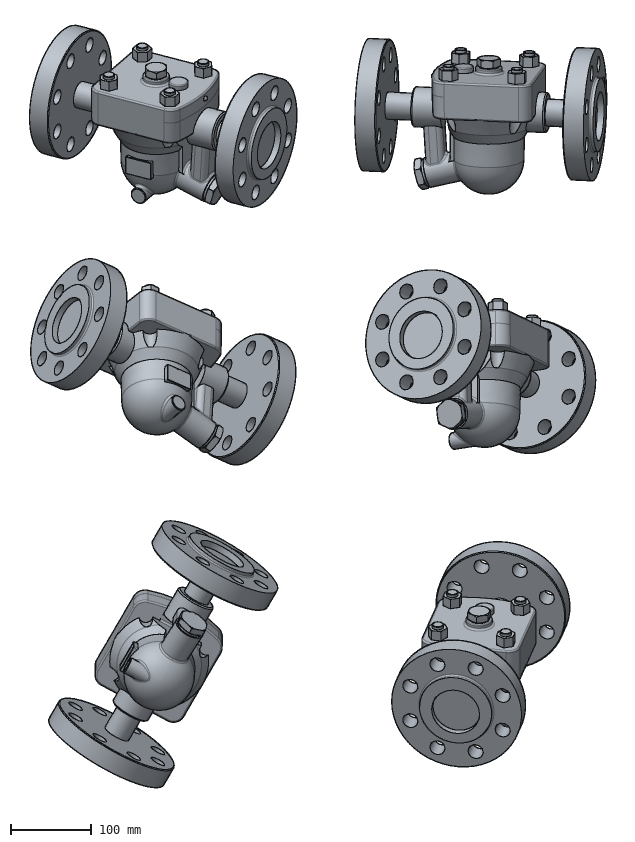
import cadquery as cq
import math

TOTAL_LENGTH = 300.0

FLANGE_DIA = 165.0
FLANGE_THICKNESS = 26.5
FLANGE_CHAMFER = 1.2
RAISED_FACE_DIA = 91.8
RAISED_FACE_ROOT_DIA = 95.5
RAISED_FACE_HEIGHT = 5.7
BORE_DIA = 60.5
BORE_DEPTH = 8.5
BORE_DROP = 2.0
BOLT_CIRCLE_DIA = 127.0
BOLT_HOLE_DIA = 19.0
BOLT_HOLE_COUNT = 8

PIPE_DIA = 34.0
SOCKET_DIA = 50.0
SOCKET_LENGTH = 168.5
SOCKET_CHAMFER = 1.8

AXIS_X = -10.2
BLOCK_BOTTOM_Z = 1.0
JOINT_Z = 30.0
COVER_TOP_Z = 48.3
COVER_LEFT_X = -73.2
COVER_HALF_WIDTH = 62.0
BULGE_X = 59.0
BULGE_BOTTOM_X = 57.5
BULGE_END_X = 47.0
LEFT_CORNER_RADIUS = 14.7
RIGHT_CORNER_RADIUS = 16.8
COVER_EDGE_FILLET = 2.0

BOLT_OFFSET = 43.2
BOLT_DIA = 14.0
BOLT_TOP_Z = 65.7
BOLT_CHAMFER = 0.5
NUT_ACROSS_FLATS = 21.0
NUT_HEIGHT = 13.2
NUT_CHAMFER_DIA = 22.5
RELIEF_DIA = 18.0

PLUG_SEAT_DIA = 33.0
PLUG_SEAT_ROOT_DIA = 38.0
PLUG_SEAT_HEIGHT = 7.0
PLUG_SEAT_FILLET = 1.2
PLUG_NECK_DIA = 24.0
PLUG_HEX_BOTTOM_Z = 56.0
PLUG_HEX_HEIGHT = 10.5
PLUG_HEX_CORNER_DIA = 30.0
PLUG_HEX_CHAMFER_DIA = 25.8
PAD_DIA = 24.0
PAD_X = 21.5
PAD_HEIGHT = 7.0
PAD_FILLET = 1.5
PIP_RADIUS = 3.3
PIP_Z = 40.5

NECK_TOP_RADIUS = 62.5
NECK_MID_RADIUS = 52.5
NECK_MID_Z = -19.5
BOWL_TOP_RADIUS = 44.5
BOWL_TOP_Z = -32.7
BOWL_RADIUS = 43.8
BOWL_CENTRE_Z = -62.7

GAP_LEFT_X = 35.7
GAP_RIGHT_X = 46.5
GAP_CORNER_RADIUS = 2.7
RIB_WIDTH = 31.8
RIB_BOTTOM_Z = -66.0

BRANCH_TILT = 15.0
BRANCH_DIA = 38.0
BRANCH_LENGTH = 79.8
BRANCH_FILLET = 2.7
CAP_NECK_DIA = 34.0
CAP_NECK_LENGTH = 3.3
CAP_CORNER_DIA = 40.0
CAP_CHAMFER_DIA = 36.0
CAP_LENGTH = 9.0

LEG_WIDTH = 24.0
LEG_DEPTH = 30.5
LEG_CORNER_RADIUS = 7.2
LEG_TILT = 3.5
LEG_TOP_X = 59.5
LEG_TOP_Z = -9.0
LEG_LENGTH = 66.0

PLATE_WIDTH = 36.0
PLATE_HEIGHT = 24.0
PLATE_FRONT_Y = -46.2
PLATE_CENTRE_Z = -54.3
PLATE_CORNER_RADIUS = 1.5
PLATE_CHAMFER = 0.5
DRAIN_DIA = 21.0
DRAIN_FRONT_Y = -46.0
DRAIN_Z = -93.5
DRAIN_CHAMFER = 1.05
DRAIN_FILLET = 3.0

TOLERANCE = 0.03


def x_cylinder(diameter, x_start, x_end):
    """Cylinder along the pipe axis."""
    return cq.Workplane("YZ", origin=(x_start, 0, 0)).circle(diameter / 2).extrude(x_end - x_start)


def z_cylinder(diameter, x, y, z_bottom, height):
    """Vertical cylinder standing on z_bottom."""
    return cq.Workplane("XY", origin=(x, y, z_bottom)).circle(diameter / 2).extrude(height)


def hexagon(plane, corner_dia, height, chamfer_dia, both_ends):
    """Hexagonal prism whose corners are turned down by 30 degree cones."""
    prism = cq.Workplane(plane).polygon(6, corner_dia).extrude(height)
    drop = (corner_dia - chamfer_dia) / 2 * math.tan(math.radians(30))
    outline = [(0, height), (chamfer_dia / 2, height), (corner_dia / 2, height - drop)]
    if both_ends:
        outline += [(corner_dia / 2, drop), (chamfer_dia / 2, 0)]
    else:
        outline += [(corner_dia / 2, 0)]
    outline += [(0, 0)]
    turned = cq.Workplane("XZ").polyline(outline).close().revolve(360, (0, 0), (0, 1))
    return prism.intersect(cq.Workplane(turned.val().located(cq.Location(plane))))


def make_flange():
    """Left flange: plate, raised face with a concave root, blind bore and bolt holes."""
    face_x = -TOTAL_LENGTH / 2
    front_x = face_x + RAISED_FACE_HEIGHT
    root_radius = (RAISED_FACE_ROOT_DIA - RAISED_FACE_DIA) / 2
    back_x = front_x + FLANGE_THICKNESS
    plate = x_cylinder(FLANGE_DIA, front_x, back_x).faces(">X").chamfer(FLANGE_CHAMFER)
    face_profile = (
        cq.Workplane("XY")
        .moveTo(face_x, 0)
        .lineTo(face_x, RAISED_FACE_DIA / 2)
        .lineTo(front_x - root_radius, RAISED_FACE_DIA / 2)
        .radiusArc((front_x, RAISED_FACE_ROOT_DIA / 2), -root_radius)
        .lineTo(front_x + FLANGE_CHAMFER, RAISED_FACE_ROOT_DIA / 2)
        .lineTo(front_x + FLANGE_CHAMFER, 0)
        .close()
    )
    raised_face = face_profile.revolve(360, (0, 0, 0), (1, 0, 0))
    bore = x_cylinder(BORE_DIA, face_x, face_x + BORE_DEPTH).translate((0, 0, -BORE_DROP))
    bolt_holes = (
        cq.Workplane("YZ", origin=(front_x, 0, 0))
        .polarArray(BOLT_CIRCLE_DIA / 2, 180 / BOLT_HOLE_COUNT, 360, BOLT_HOLE_COUNT)
        .circle(BOLT_HOLE_DIA / 2)
        .extrude(FLANGE_THICKNESS)
    )
    return plate.union(raised_face).cut(bore).cut(bolt_holes)


def cover_outline(bulge_x):
    """Cover outline: a rectangle with rounded corners whose right side bulges in an arc."""
    return (
        cq.Sketch()
        .segment((BULGE_END_X, COVER_HALF_WIDTH), (COVER_LEFT_X, COVER_HALF_WIDTH))
        .segment((COVER_LEFT_X, -COVER_HALF_WIDTH))
        .segment((BULGE_END_X, -COVER_HALF_WIDTH))
        .arc((BULGE_END_X, -COVER_HALF_WIDTH), (bulge_x, 0), (BULGE_END_X, COVER_HALF_WIDTH))
        .assemble()
        .vertices("<X")
        .fillet(LEFT_CORNER_RADIUS)
        .reset()
        .vertices(">X")
        .fillet(RIGHT_CORNER_RADIUS)
        .reset()
    )


def make_cover():
    """Upper cover plate with a rounded top edge and a small pip on its bulged side."""
    plate = cq.Workplane("XY", origin=(0, 0, JOINT_Z)).placeSketch(cover_outline(BULGE_X))
    plate = plate.extrude(COVER_TOP_Z - JOINT_Z)
    plate = plate.faces(">Z").edges().fillet(COVER_EDGE_FILLET)
    pip = cq.Workplane("XY", origin=(BULGE_X, 0, PIP_Z)).sphere(PIP_RADIUS)
    return plate.union(pip)


def make_block():
    """Block under the cover; only its bulged side is drafted."""
    rise = cq.Location(cq.Vector(0, 0, JOINT_Z - BLOCK_BOTTOM_Z))
    bottom = cover_outline(BULGE_BOTTOM_X)
    top = cover_outline(BULGE_X).moved(rise)
    block = cq.Workplane("XY", origin=(0, 0, BLOCK_BOTTOM_Z)).placeSketch(bottom, top).loft(ruled=True)
    return block.faces("<Z").edges().fillet(COVER_EDGE_FILLET)


def make_bowl():
    """Round bowl with a flared neck and a spherical bottom."""
    neck_top_z = BLOCK_BOTTOM_Z + COVER_EDGE_FILLET
    profile = (
        cq.Workplane("XZ", origin=(AXIS_X, 0, 0))
        .moveTo(0, neck_top_z)
        .lineTo(NECK_TOP_RADIUS, neck_top_z)
        .lineTo(NECK_MID_RADIUS, NECK_MID_Z)
        .lineTo(BOWL_TOP_RADIUS, BOWL_TOP_Z)
        .lineTo(BOWL_RADIUS, BOWL_CENTRE_Z)
        .radiusArc((0, BOWL_CENTRE_Z - BOWL_RADIUS), BOWL_RADIUS)
        .close()
    )
    bowl = profile.revolve(360, (0, 0, 0), (0, 1, 0))
    room = 4 * NECK_TOP_RADIUS
    inside_cover = cq.Workplane("XY").box(room, 2 * COVER_HALF_WIDTH, room)
    right_of_gap = cq.Workplane("XY", origin=(GAP_LEFT_X, 0, -room / 2)).box(
        room, room, room, centered=(False, True, False)
    )
    rib = cq.Workplane("XY", origin=(AXIS_X, 0, RIB_BOTTOM_Z)).box(
        GAP_LEFT_X - AXIS_X, RIB_WIDTH, BLOCK_BOTTOM_Z - RIB_BOTTOM_Z, centered=(False, True, False)
    )
    return bowl.intersect(inside_cover).cut(right_of_gap).union(rib)


def make_gap():
    """Round-topped opening across Y between the bowl and the outlet leg."""
    gap = cq.Workplane("XY", origin=(GAP_LEFT_X, 0, BLOCK_BOTTOM_Z)).box(
        GAP_RIGHT_X - GAP_LEFT_X, SOCKET_DIA, SOCKET_DIA, centered=(False, True, False)
    )
    gap = gap.translate((0, 0, -SOCKET_DIA))
    return gap.edges("|Y and >Z").fillet(GAP_CORNER_RADIUS)


def root_edges(body, start, direction, radius, reach):
    """Edges lying on a round boss, short of its free end at the given reach."""

    def lies_on_boss(edge):
        for point in edge.positions([0, 0.5, 1]):
            offset = point - start
            along = offset.dot(direction)
            from_axis = (offset - direction * along).Length
            if abs(from_axis - radius) > TOLERANCE or along > reach - TOLERANCE:
                return False
        return edge.geomType() != "LINE"

    return body.newObject([edge for edge in body.edges().vals() if lies_on_boss(edge)])


def make_branch(start, direction):
    """Tilted strainer branch and its hexagon cap."""
    across = cq.Vector(0, 1, 0)
    root_plane = cq.Plane(start, xDir=across, normal=direction)
    cap_plane = cq.Plane(start + direction * BRANCH_LENGTH, xDir=across, normal=direction)
    hex_start = start + direction * (BRANCH_LENGTH + CAP_NECK_LENGTH)
    hex_plane = cq.Plane(hex_start, xDir=direction.cross(across), normal=direction)
    pipe = cq.Workplane(root_plane).circle(BRANCH_DIA / 2).extrude(BRANCH_LENGTH)
    neck = cq.Workplane(cap_plane).circle(CAP_NECK_DIA / 2).extrude(CAP_NECK_LENGTH)
    cap = hexagon(hex_plane, CAP_CORNER_DIA, CAP_LENGTH, CAP_CHAMFER_DIA, True)
    return pipe, neck.union(cap)


def make_leg():
    """Rounded square leg leaning inwards from the right socket down to the branch."""
    lean = math.radians(LEG_TILT)
    plane = cq.Plane(
        (LEG_TOP_X, 0, LEG_TOP_Z), xDir=(0, 1, 0), normal=(-math.sin(lean), 0, -math.cos(lean))
    )
    leg = cq.Workplane(plane).rect(LEG_DEPTH, LEG_WIDTH).extrude(LEG_LENGTH)
    long_edges = cq.selectors.ParallelDirSelector(plane.zDir)
    return leg.edges(long_edges).fillet(LEG_CORNER_RADIUS)


def make_plate():
    """Flat name plate standing proud of the front of the bowl."""
    plate = cq.Workplane("XZ", origin=(AXIS_X, 0, PLATE_CENTRE_Z)).rect(PLATE_WIDTH, PLATE_HEIGHT)
    plate = plate.extrude(-PLATE_FRONT_Y).edges("|Y").fillet(PLATE_CORNER_RADIUS)
    return plate.faces("<Y").chamfer(PLATE_CHAMFER)


def make_drain():
    """Drain boss low on the front of the bowl."""
    drain = cq.Workplane("XZ", origin=(AXIS_X, 0, DRAIN_Z)).circle(DRAIN_DIA / 2)
    return drain.extrude(-DRAIN_FRONT_Y).faces("<Y").chamfer(DRAIN_CHAMFER)


def make_plug():
    """Blended seat, neck and hexagon plug on the bowl axis, with the round pad beside it."""
    seat = z_cylinder(PLUG_SEAT_DIA, AXIS_X, 0, COVER_TOP_Z, PLUG_SEAT_HEIGHT)
    seat = seat.faces(">Z").edges().fillet(PLUG_SEAT_FILLET)
    root_radius = (PLUG_SEAT_ROOT_DIA - PLUG_SEAT_DIA) / 2
    root_profile = (
        cq.Workplane("XZ", origin=(AXIS_X, 0, COVER_TOP_Z))
        .lineTo(PLUG_SEAT_ROOT_DIA / 2, 0)
        .radiusArc((PLUG_SEAT_DIA / 2, root_radius), root_radius)
        .lineTo(0, root_radius)
        .close()
    )
    root = root_profile.revolve(360, (0, 0, 0), (0, 1, 0))
    neck = z_cylinder(PLUG_NECK_DIA, AXIS_X, 0, COVER_TOP_Z, PLUG_HEX_BOTTOM_Z - COVER_TOP_Z)
    hex_plane = cq.Plane((AXIS_X, 0, PLUG_HEX_BOTTOM_Z), xDir=(1, 0, 0), normal=(0, 0, 1))
    head = hexagon(hex_plane, PLUG_HEX_CORNER_DIA, PLUG_HEX_HEIGHT, PLUG_HEX_CHAMFER_DIA, True)
    pad = z_cylinder(PAD_DIA, PAD_X, 0, COVER_TOP_Z, PAD_HEIGHT)
    pad = pad.faces(">Z").edges().fillet(PAD_FILLET)
    return seat.union(root).union(neck).union(head).union(pad)


def make_bolt(x, y, corners_along_x):
    """Stud end and nut on top of the cover."""
    stud = z_cylinder(BOLT_DIA, x, y, COVER_TOP_Z, BOLT_TOP_Z - COVER_TOP_Z)
    stud = stud.faces(">Z").chamfer(BOLT_CHAMFER)
    corner_direction = (1, 0, 0) if corners_along_x else (0, 1, 0)
    plane = cq.Plane((x, y, COVER_TOP_Z), xDir=corner_direction, normal=(0, 0, 1))
    corner_dia = NUT_ACROSS_FLATS / math.cos(math.radians(30))
    return stud.union(hexagon(plane, corner_dia, NUT_HEIGHT, NUT_CHAMFER_DIA, False))


bowl = make_bowl()
bolt_places = [(AXIS_X + i * BOLT_OFFSET, j * BOLT_OFFSET) for i in (-1, 1) for j in (-1, 1)]
for bolt_x, bolt_y in bolt_places:
    bowl = bowl.cut(z_cylinder(RELIEF_DIA, bolt_x, bolt_y, NECK_MID_Z, BLOCK_BOTTOM_Z - NECK_MID_Z))

sockets = x_cylinder(SOCKET_DIA, -SOCKET_LENGTH / 2, SOCKET_LENGTH / 2)
sockets = sockets.faces("<X or >X").chamfer(SOCKET_CHAMFER)
sockets = sockets.cut(make_gap())

branch_start = cq.Vector(AXIS_X, 0, BOWL_CENTRE_Z)
branch_tilt = math.radians(BRANCH_TILT)
branch_direction = cq.Vector(math.cos(branch_tilt), 0, -math.sin(branch_tilt))
branch_pipe, branch_cap = make_branch(branch_start, branch_direction)
lower = bowl.union(branch_pipe).union(make_leg())
lower = root_edges(lower, branch_start, branch_direction, BRANCH_DIA / 2, BRANCH_LENGTH).fillet(BRANCH_FILLET)
lower = lower.union(make_drain())
drain_start = cq.Vector(AXIS_X, 0, DRAIN_Z)
drain_reach = -DRAIN_FRONT_Y - DRAIN_CHAMFER
lower = root_edges(lower, drain_start, cq.Vector(0, -1, 0), DRAIN_DIA / 2, drain_reach).fillet(DRAIN_FILLET)
lower = lower.union(branch_cap).union(make_plate())

half_run = TOTAL_LENGTH / 2 - RAISED_FACE_HEIGHT - FLANGE_THICKNESS
left_flange = make_flange()
result = x_cylinder(PIPE_DIA, -half_run, -SOCKET_LENGTH / 2)
result = result.union(x_cylinder(PIPE_DIA, SOCKET_LENGTH / 2, half_run))
result = result.union(left_flange).union(left_flange.mirror("YZ"))
result = result.union(sockets).union(make_block()).union(lower)
result = result.union(make_cover()).union(make_plug())
for bolt_x, bolt_y in bolt_places:
    result = result.union(make_bolt(bolt_x, bolt_y, (bolt_x - AXIS_X) * bolt_y > 0))